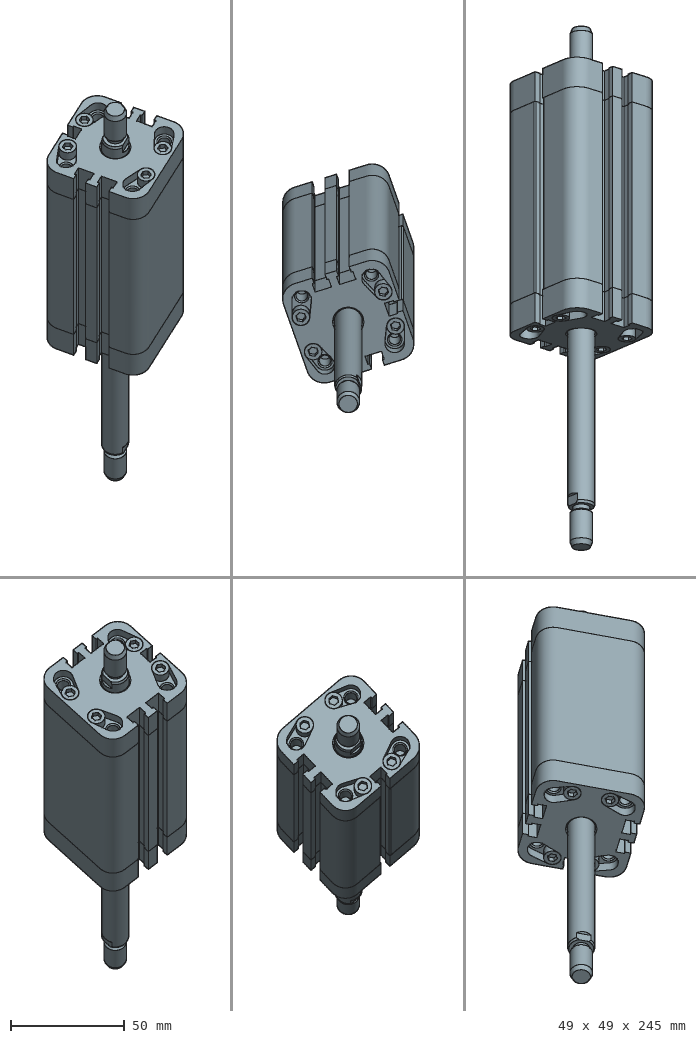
import cadquery as cq
import math


width = 49.0
corner_radius = 7.8
housing_height = 118.5
cap_height = 14.0
barrel_height = housing_height - 2 * cap_height
bore_diameter = 12.5
bore_mouth_diameter = 13.7

slot_depth = 6.5
lip_depth = 2.7
slot_offset = 5.6
twin_mouth_width = 6.0
twin_inner_width = 7.5
side_mouth_width = 5.1
side_inner_width = 6.4
side_mouth_chamfer = 0.61

pocket_width = 7.8
pocket_thread_end_diameter = 8.5
pocket_depth = 5.0
thread_place = 16.2
screw_place = (19.0, 8.5)
screw_head_diameter = 7.5
socket_across_flats = 4.0
socket_depth = 2.5
thread_diameter = 5.1
thread_mouth_diameter = 6.4

rod_length = 245.0
rod_extension_top = 25.5
rod_diameter = 12.0
thread_end_length = 18.9
stud_diameter = 10.0
stud_tip_diameter = 8.0
stud_tip_length = 2.5
neck_diameter = 7.5
neck_length = 2.0
neck_taper_length = 1.0
shoulder_diameter = 11.0
shoulder_chamfer_length = 1.2
flat_width = 10.0
flat_end = 23.8
flat_run_out = 0.5


def t_slot(mouth_width, inner_width, height):
    """T-slot cutter, open towards -X at X = -width / 2."""
    outside = -width / 2
    lip = cq.Workplane("XY").box(lip_depth, mouth_width, height, centered=(False, True, False))
    inner = cq.Workplane("XY").box(
        slot_depth - lip_depth, inner_width, height, centered=(False, True, False)
    )
    return lip.translate((outside, 0, 0)).union(inner.translate((outside + lip_depth, 0, 0)))


def profile_block(height):
    """Rounded square block with its T-slots, standing on Z = 0."""
    block = cq.Workplane("XY").box(width, width, height, centered=(True, True, False))
    block = block.edges("|Z").fillet(corner_radius)
    block = block.cut(t_slot(side_mouth_width, side_inner_width, height))
    twin = t_slot(twin_mouth_width, twin_inner_width, height)
    for turn in (90, -90):
        for offset in (-slot_offset, slot_offset):
            block = block.cut(twin.translate((0, offset, 0)).rotate((0, 0, 0), (0, 0, 1), turn))
    return block


def make_barrel():
    """Middle of the housing, with the mouth of its side slot chamfered."""
    barrel = profile_block(barrel_height)
    half_mouth = side_mouth_width / 2
    outside = -width / 2
    mouth = (
        cq.Workplane("XY")
        .polyline([
            (outside, -half_mouth - side_mouth_chamfer),
            (outside + side_mouth_chamfer, -half_mouth),
            (outside + side_mouth_chamfer, half_mouth),
            (outside, half_mouth + side_mouth_chamfer),
        ])
        .close()
        .extrude(barrel_height)
    )
    bore = cq.Workplane("XY").circle(rod_diameter / 2).extrude(barrel_height)
    return barrel.cut(mouth).cut(bore).translate((0, 0, cap_height))


def pocket_cutter():
    """Pocket in the +X +Y corner, leaving the screw head standing in it."""
    floor = cap_height - pocket_depth
    screw_x, screw_y = screw_place
    screw_radius = pocket_width / 2
    thread_radius = pocket_thread_end_diameter / 2
    run_x = screw_x - thread_place
    run_y = screw_y - thread_place
    run_length = math.hypot(run_x, run_y)
    run_angle = math.atan2(run_y, run_x)
    tangent_turn = math.acos((thread_radius - screw_radius) / run_length)

    def wall_point(x, y, radius, side):
        angle = run_angle + side * tangent_turn
        return (x + radius * math.cos(angle), y + radius * math.sin(angle))

    def far_point(x, y, radius, direction):
        step = direction * radius / run_length
        return (x + step * run_x, y + step * run_y)

    pocket = (
        cq.Workplane("XY", origin=(0, 0, floor))
        .moveTo(*wall_point(thread_place, thread_place, thread_radius, 1))
        .threePointArc(
            far_point(thread_place, thread_place, thread_radius, -1),
            wall_point(thread_place, thread_place, thread_radius, -1),
        )
        .lineTo(*wall_point(screw_x, screw_y, screw_radius, -1))
        .threePointArc(
            far_point(screw_x, screw_y, screw_radius, 1),
            wall_point(screw_x, screw_y, screw_radius, 1),
        )
        .close()
        .extrude(pocket_depth)
    )
    head = (
        cq.Workplane("XY", origin=(screw_x, screw_y, floor))
        .circle(screw_head_diameter / 2)
        .extrude(pocket_depth)
    )
    socket = (
        cq.Workplane("XY", origin=(screw_x, screw_y, cap_height - socket_depth))
        .polygon(6, socket_across_flats, circumscribed=True)
        .extrude(socket_depth)
    )
    countersink = (thread_mouth_diameter - thread_diameter) / 2
    thread = (
        cq.Workplane("XZ", origin=(thread_place, thread_place, 0))
        .polyline([
            (0, 0),
            (thread_diameter / 2, 0),
            (thread_diameter / 2, floor - countersink),
            (thread_mouth_diameter / 2, floor),
            (0, floor),
        ])
        .close()
        .revolve(360, (0, 0), (0, 1))
    )
    return pocket.cut(head).union(socket).union(thread)


def make_cap():
    """End cap with its outer end facing +Z, standing on Z = 0."""
    cap = profile_block(cap_height)
    cap = cap.cut(cq.Workplane("XY").circle(bore_diameter / 2).extrude(cap_height))
    mouth_chamfer = (bore_mouth_diameter - bore_diameter) / 2
    cap = cap.faces(">Z").edges(cq.selectors.RadiusNthSelector(0)).chamfer(mouth_chamfer)
    corner = pocket_cutter()
    left = corner.mirror("YZ")
    for cutter in (corner, left, corner.mirror("XZ"), left.mirror("XZ")):
        cap = cap.cut(cutter)
    return cap


def rod_end_outline():
    """Radius and distance from the tip, from the tip to the full rod diameter."""
    neck_start = thread_end_length - neck_length
    return [
        (stud_tip_diameter / 2, 0),
        (stud_diameter / 2, stud_tip_length),
        (stud_diameter / 2, neck_start - neck_taper_length),
        (neck_diameter / 2, neck_start),
        (neck_diameter / 2, thread_end_length),
        (shoulder_diameter / 2, thread_end_length),
        (rod_diameter / 2, thread_end_length + shoulder_chamfer_length),
    ]


def make_rod():
    """Stepped rod with threaded studs and wrench flats at both ends."""
    end = rod_end_outline()
    other_end = [(radius, rod_length - distance) for radius, distance in reversed(end)]
    rod = (
        cq.Workplane("XZ")
        .polyline([(0, 0), *end, *other_end, (0, rod_length)])
        .close()
        .revolve(360, (0, 0), (0, 1))
    )
    flat = flat_width / 2
    surface = rod_diameter / 2
    flat_cut = (
        cq.Workplane("XZ")
        .polyline([
            (flat, thread_end_length),
            (flat, flat_end - flat_run_out),
            (surface, flat_end),
            (surface, thread_end_length),
        ])
        .close()
        .extrude(surface, both=True)
    )
    flats = flat_cut.union(flat_cut.mirror("YZ"))
    rod = rod.cut(flats).cut(flats.mirror("XY").translate((0, 0, rod_length)))
    return rod.translate((0, 0, housing_height + rod_extension_top - rod_length))


cap = make_cap()
top_cap = cap.translate((0, 0, housing_height - cap_height))
bottom_cap = cap.mirror("XY").translate((0, 0, cap_height))
barrel = make_barrel()
rod = make_rod()

result = cq.Compound.makeCompound([top_cap.val(), barrel.val(), bottom_cap.val(), rod.val()])